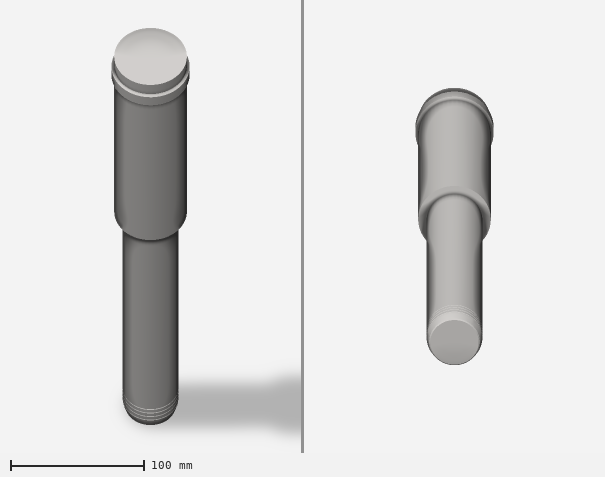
import cadquery as cq

total_length = 423.0
collar_diameter = 59.0
body_diameter = 54.5
rod_diameter = 42.0

body_length = 188.0
shoulder_height = 1.0
collar_offset = 11.0
collar_height = 12.3
collar_slope_height = 1.3

nose_height = 9.0
nose_tip_diameter = 38.0
nose_bulge = 0.3
tip_chamfer = 1.0

groove_depth = 0.5
groove_width = 1.0
groove_pitch = 4.2
first_groove_height = 9.5
groove_count = 4


def disc(diameter, bottom, height):
    """Cylinder on the Z axis, starting at the given height."""
    return cq.Workplane("XY").workplane(offset=bottom).circle(diameter / 2).extrude(height)


def spin(profile):
    """Solid of revolution about Z from a profile in the XZ plane."""
    return profile.close().revolve(360, (0, 0, 0), (0, 1, 0))


def rod_with_nose(top):
    """Round rod whose lower end curves inward to a flat, chamfered tip."""
    rod_radius = rod_diameter / 2
    tip_radius = nose_tip_diameter / 2
    nose_middle_radius = (rod_radius + tip_radius) / 2 + nose_bulge
    nose_middle_height = (nose_height + tip_chamfer) / 2
    return spin(
        cq.Workplane("XZ")
        .lineTo(tip_radius - tip_chamfer, 0)
        .lineTo(tip_radius, tip_chamfer)
        .threePointArc((nose_middle_radius, nose_middle_height), (rod_radius, nose_height))
        .lineTo(rod_radius, top)
        .lineTo(0, top)
    )


def shoulder(top):
    """Short cone leading from the body down to the rod."""
    bottom = top - shoulder_height
    return spin(
        cq.Workplane("XZ")
        .moveTo(0, bottom)
        .lineTo(rod_diameter / 2, bottom)
        .lineTo(body_diameter / 2, top)
        .lineTo(0, top)
    )


def collar(bottom):
    """Raised ring with both faces sloping down to the body."""
    body_radius = body_diameter / 2
    collar_radius = collar_diameter / 2
    top = bottom + collar_height
    return spin(
        cq.Workplane("XZ")
        .moveTo(0, bottom)
        .lineTo(body_radius, bottom)
        .lineTo(collar_radius, bottom + collar_slope_height)
        .lineTo(collar_radius, top - collar_slope_height)
        .lineTo(body_radius, top)
        .lineTo(0, top)
    )


def groove(center):
    """Cutter for one V-groove around the rod."""
    rod_radius = rod_diameter / 2
    return spin(
        cq.Workplane("XZ")
        .moveTo(rod_radius, center - groove_width / 2)
        .lineTo(rod_radius, center + groove_width / 2)
        .lineTo(rod_radius - groove_depth, center)
    )


body_bottom = total_length - body_length
collar_bottom = total_length - collar_offset - collar_height

result = rod_with_nose(body_bottom)
result = result.union(disc(body_diameter, body_bottom, body_length))
result = result.union(shoulder(body_bottom))
result = result.union(collar(collar_bottom))

for index in range(groove_count):
    result = result.cut(groove(first_groove_height + index * groove_pitch))